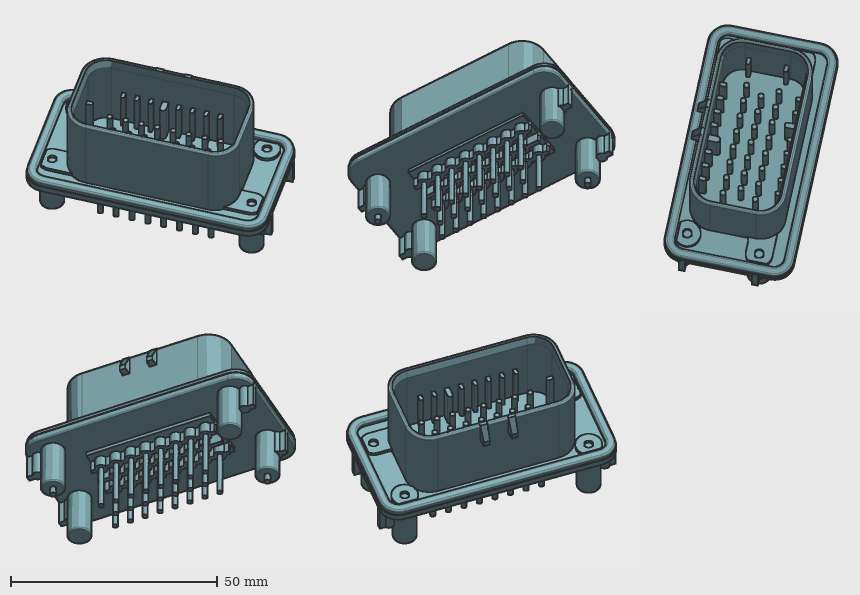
import cadquery as cq
import math

FLANGE_STEP_Z = 1.9
FLANGE_TOP_Z = 3.35
SHELL_TOP_Z = 21.95
FLOOR_Z = 1.95
CONTACT_TOP_Z = 9.55
CONTACT_TAIL_Z = -16.1

OVERLAP = 0.6

FLANGE_X = 60.8
FLANGE_Y = 32.1
FLANGE_RADIUS = 4.85
FLANGE_STEP_INSET = 0.2
FLANGE_TOP_FILLET = 0.5
FLANGE_BOTTOM_FILLET = 0.35
RIM_WIDTH = 2.5
RECESS_DEPTH = 1.4
RECESS_RADIUS = FLANGE_RADIUS + FLANGE_STEP_INSET - RIM_WIDTH
RECESS_FILLET = 0.5
RECESS_Z = FLANGE_TOP_Z - RECESS_DEPTH

SHELL_X = 43.3
SHELL_Y = 23.6
SHELL_RADIUS = 6.15
SHELL_WALL = 1.5
SHELL_TOP_FILLET = 0.5
LEAD_IN_WIDTH = 0.55
LEAD_IN_HEIGHT = 2.0
CAVITY_X = SHELL_X - 2 * SHELL_WALL
CAVITY_Y = SHELL_Y - 2 * SHELL_WALL

KEY_TOP_Z = 12.05
KEY_WIDTH = 1.05
KEY_ROW_LENGTH = 24.5
KEYS_PER_WALL = 8
KEY_PITCH = KEY_ROW_LENGTH / (KEYS_PER_WALL - 1)
KEY_REACH = 1.7
SIDE_KEY_Y = 4.7
BACK_WIDE_KEY = 3
BACK_WIDE_KEY_WIDTH = 1.6
FRONT_WIDE_KEY = 5
FRONT_WIDE_KEY_WIDTH = 1.35
WIDE_KEY_REACH = 3.0

LONG_ROW_LENGTH = 28.0
LONG_ROW_COUNT = 8
SHORT_ROW_COUNT = LONG_ROW_COUNT - 1
CONTACT_PITCH = LONG_ROW_LENGTH / (LONG_ROW_COUNT - 1)
CONTACT_DIAMETER = 1.35
CONTACT_ROWS = ((1, LONG_ROW_COUNT), (0, SHORT_ROW_COUNT), (-1, LONG_ROW_COUNT))

BLOCK_X = 33.25
BLOCK_Y = 14.0
BLOCK_BOTTOM_Z = -1.1
SLEEVE_BOTTOM_Z = -4.1
SLEEVE_DIAMETER = 3.05
ROW_RIB_WIDTH = 1.05

LATCH_SPACING = 7.25
LATCH_BASE_WIDTH = 1.9
LATCH_TIP_WIDTH = 1.5
LATCH_TIP_Y = 13.85
LATCH_BOTTOM_Z = 16.55
LATCH_TIP_TOP_Z = 17.95
LATCH_LAND = 0.4
LATCH_INNER_Y = SHELL_Y / 2 - SHELL_TOP_FILLET
LATCH_ROOT_Y = LATCH_INNER_Y + LATCH_LAND

BACK_POST_X = 23.7
BACK_POST_Y = 10.8
FRONT_POST_X = 25.25
FRONT_POST_Y = -7.3
POST_DIAMETER = 5.95
POST_BOTTOM_Z = -12.3
POST_FILLET = 0.35
PEG_DIAMETER = 1.5
PEG_BOTTOM_Z = -14.3
PAD_RADIUS = 3.3
PAD_HEIGHT = 0.8
PAD_ROOT_FILLET = 0.6
PAD_TOP_Z = RECESS_Z + PAD_HEIGHT
BACK_PAD_EDGE_Y = 13.1
FRONT_PAD_EDGE_X = 27.4
FRONT_PAD_INNER_X = SHELL_X / 2 - SHELL_RADIUS
PAD_HOLE_DIAMETER = 2.25
FIN_BOTTOM_Z = -6.5
FIN_WIDTH = 1.45
FIN_BOSS_DIAMETER = 2.7
FIN_BOSS_X = 27.8


def block(size_x, size_y, bottom, top, x=0, y=0):
    """Box centred on (x, y) between two heights."""
    return (
        cq.Workplane("XY", origin=(x, y, bottom))
        .rect(size_x, size_y)
        .extrude(top - bottom)
    )


def rounded_block(size_x, size_y, radius, bottom, top):
    """Box with rounded upright corners."""
    return block(size_x, size_y, bottom, top).edges("|Z").fillet(radius)


def cylinder(diameter, bottom, top, x, y):
    """Upright cylinder between two heights."""
    return (
        cq.Workplane("XY", origin=(x, y, bottom))
        .circle(diameter / 2)
        .extrude(top - bottom)
    )


def evenly_spaced(count, pitch):
    """Positions of a centred row."""
    return [(i - (count - 1) / 2) * pitch for i in range(count)]


def make_flange():
    lower = rounded_block(FLANGE_X, FLANGE_Y, FLANGE_RADIUS, 0, FLANGE_STEP_Z)
    lower = lower.faces("<Z").edges().fillet(FLANGE_BOTTOM_FILLET)
    upper_x = FLANGE_X - 2 * FLANGE_STEP_INSET
    upper_y = FLANGE_Y - 2 * FLANGE_STEP_INSET
    upper = rounded_block(upper_x, upper_y, FLANGE_RADIUS, FLANGE_STEP_Z, FLANGE_TOP_Z)
    upper = upper.faces(">Z").edges().fillet(FLANGE_TOP_FILLET)
    recess = rounded_block(
        FLANGE_X - 2 * RIM_WIDTH, FLANGE_Y - 2 * RIM_WIDTH, RECESS_RADIUS, RECESS_Z, FLANGE_TOP_Z
    )
    flange = lower.union(upper).cut(recess)
    rim_mouth = flange.faces(">Z").wires().vals()[1].Edges()
    return flange.newObject(rim_mouth).fillet(RECESS_FILLET)


def make_pads():
    """Raised pads around the screw holes, each a disc cut flat toward the rim."""
    pads = cq.Workplane("XY")
    for side in (-1, 1):
        x, y = side * BACK_POST_X, BACK_POST_Y
        disc = cylinder(2 * PAD_RADIUS, RECESS_Z, PAD_TOP_Z, x, y)
        keep_y = BACK_PAD_EDGE_Y - (y - PAD_RADIUS)
        keep = block(
            2 * PAD_RADIUS, keep_y, RECESS_Z, PAD_TOP_Z, x, BACK_PAD_EDGE_Y - keep_y / 2
        )
        pads = pads.add(disc.intersect(keep))

        x, y = side * FRONT_POST_X, FRONT_POST_Y
        disc = cylinder(2 * PAD_RADIUS, RECESS_Z, PAD_TOP_Z, x, y)
        tongue_x = FRONT_POST_X - FRONT_PAD_INNER_X
        tongue = block(
            tongue_x, 2 * PAD_RADIUS, RECESS_Z, PAD_TOP_Z, side * (FRONT_POST_X - tongue_x / 2), y
        )
        keep_x = FRONT_PAD_EDGE_X - FRONT_PAD_INNER_X
        keep = block(
            keep_x, 2 * PAD_RADIUS, RECESS_Z, PAD_TOP_Z, side * (FRONT_PAD_EDGE_X - keep_x / 2), y
        )
        pads = pads.add(disc.union(tongue).intersect(keep))
    return pads.combine()


def make_shell():
    """Solid outside of the shell with its rounded top edge."""
    shell = rounded_block(SHELL_X, SHELL_Y, SHELL_RADIUS, RECESS_Z, SHELL_TOP_Z)
    return shell.faces(">Z").edges().fillet(SHELL_TOP_FILLET)


def make_cavity():
    """Inside of the shell, widening toward the mouth."""
    corner = SHELL_RADIUS - SHELL_WALL
    bore = rounded_block(CAVITY_X, CAVITY_Y, corner, FLOOR_Z, SHELL_TOP_Z)
    mouth = rounded_block(
        CAVITY_X + 2 * LEAD_IN_WIDTH,
        CAVITY_Y + 2 * LEAD_IN_WIDTH,
        corner + LEAD_IN_WIDTH,
        SHELL_TOP_Z - LEAD_IN_HEIGHT,
        SHELL_TOP_Z + OVERLAP,
    )
    mouth = mouth.faces("<Z").edges().chamfer(LEAD_IN_HEIGHT, LEAD_IN_WIDTH)
    return bore.union(mouth)


def make_latch(x):
    """Ramp falling from a short land at the shell mouth and narrowing toward its tip."""
    profile = (
        cq.Workplane("YZ", origin=(x - LATCH_BASE_WIDTH / 2, 0, 0))
        .moveTo(LATCH_INNER_Y, LATCH_BOTTOM_Z)
        .lineTo(LATCH_TIP_Y, LATCH_BOTTOM_Z)
        .lineTo(LATCH_TIP_Y, LATCH_TIP_TOP_Z)
        .lineTo(LATCH_ROOT_Y, SHELL_TOP_Z)
        .lineTo(LATCH_INNER_Y, SHELL_TOP_Z)
        .close()
        .extrude(LATCH_BASE_WIDTH)
    )
    plan = (
        cq.Workplane("XY", origin=(x, 0, LATCH_BOTTOM_Z))
        .moveTo(-LATCH_BASE_WIDTH / 2, LATCH_INNER_Y)
        .lineTo(LATCH_BASE_WIDTH / 2, LATCH_INNER_Y)
        .lineTo(LATCH_BASE_WIDTH / 2, LATCH_ROOT_Y)
        .lineTo(LATCH_TIP_WIDTH / 2, LATCH_TIP_Y)
        .lineTo(-LATCH_TIP_WIDTH / 2, LATCH_TIP_Y)
        .lineTo(-LATCH_BASE_WIDTH / 2, LATCH_ROOT_Y)
        .close()
        .extrude(SHELL_TOP_Z - LATCH_BOTTOM_Z)
    )
    return profile.intersect(plan)


def make_key(x, y, inward_angle, width, reach):
    """Round-nosed key rooted in a wall at (x, y) and pointing along an angle in degrees."""
    straight = reach - width / 2
    key = (
        cq.Workplane("XY")
        .moveTo(-OVERLAP, -width / 2)
        .lineTo(straight, -width / 2)
        .threePointArc((reach, 0), (straight, width / 2))
        .lineTo(-OVERLAP, width / 2)
        .close()
        .extrude(KEY_TOP_Z - FLOOR_Z + OVERLAP)
    )
    return key.rotate((0, 0, 0), (0, 0, 1), inward_angle).translate((x, y, FLOOR_Z - OVERLAP))


def make_keys():
    keys = cq.Workplane("XY")
    regular = (KEY_WIDTH, KEY_REACH)
    wide_back = (BACK_WIDE_KEY_WIDTH, WIDE_KEY_REACH)
    wide_front = (FRONT_WIDE_KEY_WIDTH, WIDE_KEY_REACH)
    for i, x in enumerate(evenly_spaced(KEYS_PER_WALL, KEY_PITCH)):
        back = wide_back if i == BACK_WIDE_KEY else regular
        front = wide_front if i == FRONT_WIDE_KEY else regular
        keys = keys.add(make_key(x, CAVITY_Y / 2, -90, *back))
        keys = keys.add(make_key(x, -CAVITY_Y / 2, 90, *front))
    for y in (-SIDE_KEY_Y, SIDE_KEY_Y):
        keys = keys.add(make_key(-CAVITY_X / 2, y, 0, KEY_WIDTH, KEY_REACH))
        keys = keys.add(make_key(CAVITY_X / 2, y, 180, KEY_WIDTH, KEY_REACH))
    return keys.combine()


def make_contact_block():
    """Block under the flange with a rib along each row and a sleeve around each contact."""
    parts = block(BLOCK_X, BLOCK_Y, BLOCK_BOTTOM_Z, OVERLAP)
    for row, count in CONTACT_ROWS:
        y = row * CONTACT_PITCH
        parts = parts.union(block(BLOCK_X, ROW_RIB_WIDTH, SLEEVE_BOTTOM_Z, 0, 0, y))
        for x in evenly_spaced(count, CONTACT_PITCH):
            parts = parts.union(cylinder(SLEEVE_DIAMETER, SLEEVE_BOTTOM_Z, 0, x, y))
    return parts


def make_contacts():
    contacts = cq.Workplane("XY")
    for row, count in CONTACT_ROWS:
        for x in evenly_spaced(count, CONTACT_PITCH):
            y = row * CONTACT_PITCH
            contacts = contacts.add(
                cylinder(CONTACT_DIAMETER, CONTACT_TAIL_Z, CONTACT_TOP_Z, x, y)
            )
    return contacts.combine()


def make_post(x, y):
    """Mounting post joined to a fin that runs out to the end of the flange."""
    side = math.copysign(1, x)
    post = cylinder(POST_DIAMETER, POST_BOTTOM_Z, OVERLAP, x, y)
    post = post.faces("<Z").edges().fillet(POST_FILLET)
    boss = cylinder(FIN_BOSS_DIAMETER, FIN_BOTTOM_Z, OVERLAP, side * FIN_BOSS_X, y)
    fin_x = FLANGE_X / 2 - FIN_BOSS_X
    fin = block(fin_x, FIN_WIDTH, FIN_BOTTOM_Z, OVERLAP, side * (FLANGE_X - fin_x) / 2, y)
    return post.union(boss).union(fin)


def make_pad_hole(x, y):
    return cylinder(PAD_HOLE_DIAMETER, RECESS_Z, PAD_TOP_Z, x, y)


def make_peg(x, y):
    return cylinder(PEG_DIAMETER, PEG_BOTTOM_Z, POST_BOTTOM_Z + OVERLAP, x, y)


post_places = [
    (-BACK_POST_X, BACK_POST_Y),
    (BACK_POST_X, BACK_POST_Y),
    (-FRONT_POST_X, FRONT_POST_Y),
    (FRONT_POST_X, FRONT_POST_Y),
]

result = make_flange().union(make_pads()).union(make_shell())
for side in (-1, 1):
    root = (side * SHELL_X / 2, FRONT_POST_Y + PAD_RADIUS, RECESS_Z + PAD_HEIGHT / 2)
    pad_root = cq.selectors.NearestToPointSelector(root)
    result = result.edges("|Z").edges(pad_root).fillet(PAD_ROOT_FILLET)

for latch_x in evenly_spaced(2, LATCH_SPACING):
    result = result.union(make_latch(latch_x))
result = result.cut(make_cavity())
result = result.union(make_keys()).union(make_contact_block()).union(make_contacts())

for place in post_places:
    result = result.union(make_post(*place)).cut(make_pad_hole(*place))

result = result.union(make_peg(-FRONT_POST_X, FRONT_POST_Y))
result = result.union(make_peg(BACK_POST_X, BACK_POST_Y))